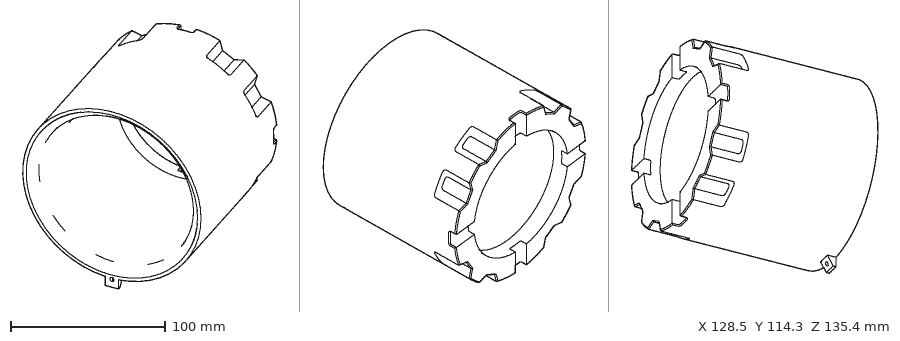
import cadquery as cq
import math

LENGTH = 114.3
OUTER_RADIUS = 128.52 / 2

MOUTH_RADIUS = 123.44 / 2
MOUTH_DEPTH = 1.3
MAIN_RADIUS = 111.51 / 2
MAIN_START = 5.8
MAIN_END = 24.4
REAR_RADIUS = 104.14 / 2
STEP_EDGE_RADIUS = 1.5
END_OPENING_RADIUS = 45.9
END_WALL_THICKNESS = 12.0
END_WALL_FILLET = 3.2

POCKET_ANGLES = (30, 60, 120, 150, 210, 240, 300, 330)
POCKET_LENGTH = 22.4
POCKET_FLOOR_RADIUS = 58.2
POCKET_FLOOR_WIDTH = 9.5
POCKET_CORNER_RADIUS = 1.9

NOTCH_ANGLES = (0, 90)
NOTCH_WIDTH = 10.9
NOTCH_DEPTH = 5.1
NOTCH_CORNER_RADIUS = 1.0
END_EDGE_BREAK = 0.8

TAB_WIDTH = 9.8
TAB_OVERLAP = 1.0
TAB_BOTTOM = 71.1
TAB_ROOT_THICKNESS = 6.4
TAB_TIP_THICKNESS = 2.2
PIN_HOLE_DIAMETER = 2.64

CUT_MARGIN = 5.0
TOLERANCE = 0.01


def make_sleeve():
    """Tube with a stepped bore and an inward flange at the drive end."""
    rear_bore_start = MAIN_END + MAIN_RADIUS - REAR_RADIUS
    bore = (
        cq.Workplane("XY")
        .moveTo(0, 0)
        .lineTo(MOUTH_RADIUS, 0)
        .lineTo(MOUTH_RADIUS, MOUTH_DEPTH)
        .lineTo(MAIN_RADIUS, MAIN_START)
        .lineTo(MAIN_RADIUS, MAIN_END)
        .lineTo(REAR_RADIUS, rear_bore_start)
        .lineTo(REAR_RADIUS, LENGTH - END_WALL_THICKNESS)
        .lineTo(0, LENGTH - END_WALL_THICKNESS)
        .close()
        .revolve(360, (0, 0, 0), (0, 1, 0))
    )
    step_edges = []
    for depth in (MOUTH_DEPTH, MAIN_START, MAIN_END, rear_bore_start):
        low_corner = (-OUTER_RADIUS, depth - TOLERANCE, -OUTER_RADIUS)
        high_corner = (OUTER_RADIUS, depth + TOLERANCE, OUTER_RADIUS)
        step_edges += bore.edges(cq.selectors.BoxSelector(low_corner, high_corner)).vals()
    bore = bore.newObject(step_edges).fillet(STEP_EDGE_RADIUS)
    bore = bore.faces(">Y").edges().fillet(END_WALL_FILLET)
    along_y = cq.Workplane("XZ")
    body = along_y.circle(OUTER_RADIUS).extrude(-LENGTH)
    opening = along_y.circle(END_OPENING_RADIUS).extrude(-LENGTH)
    return body.cut(bore).cut(opening)


def make_pocket(angle):
    """Cutter for one flared pocket, turned about Y from the top of the sleeve."""
    height = OUTER_RADIUS + CUT_MARGIN - POCKET_FLOOR_RADIUS
    half_floor = POCKET_FLOOR_WIDTH / 2
    half_top = half_floor + height
    top = POCKET_FLOOR_RADIUS + height
    cutter = (
        cq.Workplane("XZ", origin=(0, LENGTH - POCKET_LENGTH, 0))
        .polyline([
            (-half_floor, POCKET_FLOOR_RADIUS),
            (half_floor, POCKET_FLOOR_RADIUS),
            (half_top, top),
            (-half_top, top),
        ])
        .close()
        .extrude(-(POCKET_LENGTH + CUT_MARGIN))
    )
    side_corners = cutter.faces("<Y").edges("not |X")
    return side_corners.fillet(POCKET_CORNER_RADIUS).rotate((0, 0, 0), (0, 1, 0), angle)


def make_notch(angle):
    """Cutter for a notch running right across the sleeve."""
    return (
        cq.Workplane("XY")
        .box(NOTCH_WIDTH, 2 * NOTCH_DEPTH, 2 * (OUTER_RADIUS + CUT_MARGIN))
        .edges("|Z")
        .fillet(NOTCH_CORNER_RADIUS)
        .translate((0, LENGTH, 0))
        .rotate((0, 0, 0), (0, 1, 0), angle)
    )


def break_end_edges(body):
    """Chamfer the outer outline of the drive end, along the pockets and notches."""
    rim = []
    for edge in body.edges().vals():
        middle = edge.positionAt(0.5)
        radius = math.hypot(middle.x, middle.z)
        box = edge.BoundingBox()
        on_end_face = box.ymin > LENGTH - TOLERANCE
        in_notch = box.ymin > LENGTH - NOTCH_DEPTH - TOLERANCE and radius > OUTER_RADIUS - TOLERANCE
        if (on_end_face and radius > POCKET_FLOOR_RADIUS - TOLERANCE) or in_notch:
            rim.append(edge)
    return body.newObject(rim).chamfer(END_EDGE_BREAK)


def make_tab():
    """Tapered tab with its flat face flush with the mouth."""
    root = OUTER_RADIUS - TAB_OVERLAP
    return (
        cq.Workplane("YZ")
        .polyline([
            (0, -root),
            (0, -TAB_BOTTOM),
            (TAB_TIP_THICKNESS, -TAB_BOTTOM),
            (TAB_ROOT_THICKNESS, -OUTER_RADIUS),
            (TAB_ROOT_THICKNESS, -root),
        ])
        .close()
        .extrude(TAB_WIDTH / 2, both=True)
    )


def make_pin_hole():
    """Through hole square to the sloping back of the tab, at its middle."""
    tab_height = TAB_BOTTOM - OUTER_RADIUS
    slope_angle = math.degrees(math.atan2(TAB_ROOT_THICKNESS - TAB_TIP_THICKNESS, tab_height))
    middle_y = (TAB_ROOT_THICKNESS + TAB_TIP_THICKNESS) / 2
    middle_z = -(OUTER_RADIUS + TAB_BOTTOM) / 2
    return (
        cq.Workplane("XZ")
        .circle(PIN_HOLE_DIAMETER / 2)
        .extrude(tab_height, both=True)
        .rotate((0, 0, 0), (1, 0, 0), -slope_angle)
        .translate((0, middle_y, middle_z))
    )


sleeve = make_sleeve()
for pocket_angle in POCKET_ANGLES:
    sleeve = sleeve.cut(make_pocket(pocket_angle))
for notch_angle in NOTCH_ANGLES:
    sleeve = sleeve.cut(make_notch(notch_angle))
sleeve = break_end_edges(sleeve)
result = sleeve.union(make_tab()).cut(make_pin_hole())